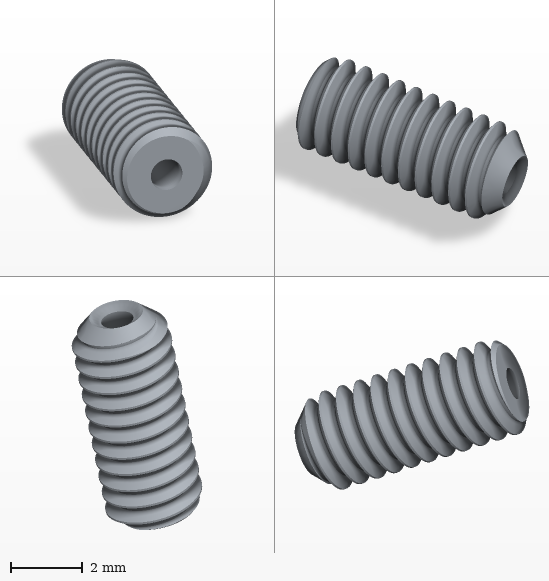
import cadquery as cq
import math

length = 6.35
major_radius = 1.394

thread_count = 12
pitch = length / thread_count
root_radius = 1.07
crest_width = 0.065
flank_angle = math.radians(30)
first_crest_x = 0.14
lead_in_turns = 2
run_out_turns = 1

point_radius = 0.76
end_radius = 1.15
bore_radius = 0.46
cup_depth = 0.185

cutter_clearance = 0.02

rod_overhang = 4 * pitch


def make_thread_groove():
    """Helical groove along X, running past both ends of the screw."""
    outer_radius = major_radius + cutter_clearance
    half_mouth = (pitch - crest_width) / 2
    half_root = half_mouth - (major_radius - root_radius) * math.tan(flank_angle)
    half_outer = half_mouth + cutter_clearance * math.tan(flank_angle)
    helix_length = length + (lead_in_turns + run_out_turns) * pitch
    helix = cq.Wire.makeHelix(pitch, helix_length, root_radius)
    profile = (
        cq.Workplane("XZ")
        .polyline(
            [
                (root_radius, -half_root),
                (outer_radius, -half_outer),
                (outer_radius, half_outer),
                (root_radius, half_root),
            ]
        )
        .close()
    )
    groove = profile.sweep(cq.Workplane(obj=helix), isFrenet=True)
    groove = groove.rotate((0, 0, 0), (0, 1, 0), 90)
    start_x = first_crest_x + pitch / 2 - lead_in_turns * pitch
    return groove.translate((start_x, 0, 0))


def make_threaded_rod():
    """Threaded rod longer than the groove, to be trimmed to the screw."""
    rod = cq.Workplane("YZ", origin=(-rod_overhang, 0, 0)).circle(major_radius)
    return rod.extrude(length + 2 * rod_overhang).cut(make_thread_groove())


def make_envelope():
    """Outer limit of the screw, with 45 degree cones at both ends."""
    return (
        cq.Workplane("XY")
        .polyline(
            [
                (0, 0),
                (0, point_radius),
                (major_radius - point_radius, major_radius),
                (length - (major_radius - end_radius), major_radius),
                (length, end_radius),
                (length, 0),
            ]
        )
        .close()
        .revolve(360, (0, 0, 0), (1, 0, 0))
    )


def make_cup_and_bore():
    """Through bore opened into a conical cup at the point."""
    return (
        cq.Workplane("XY")
        .polyline(
            [
                (0, 0),
                (0, point_radius),
                (cup_depth, bore_radius),
                (length, bore_radius),
                (length, 0),
            ]
        )
        .close()
        .revolve(360, (0, 0, 0), (1, 0, 0))
    )


result = make_threaded_rod().intersect(make_envelope()).cut(make_cup_and_bore())